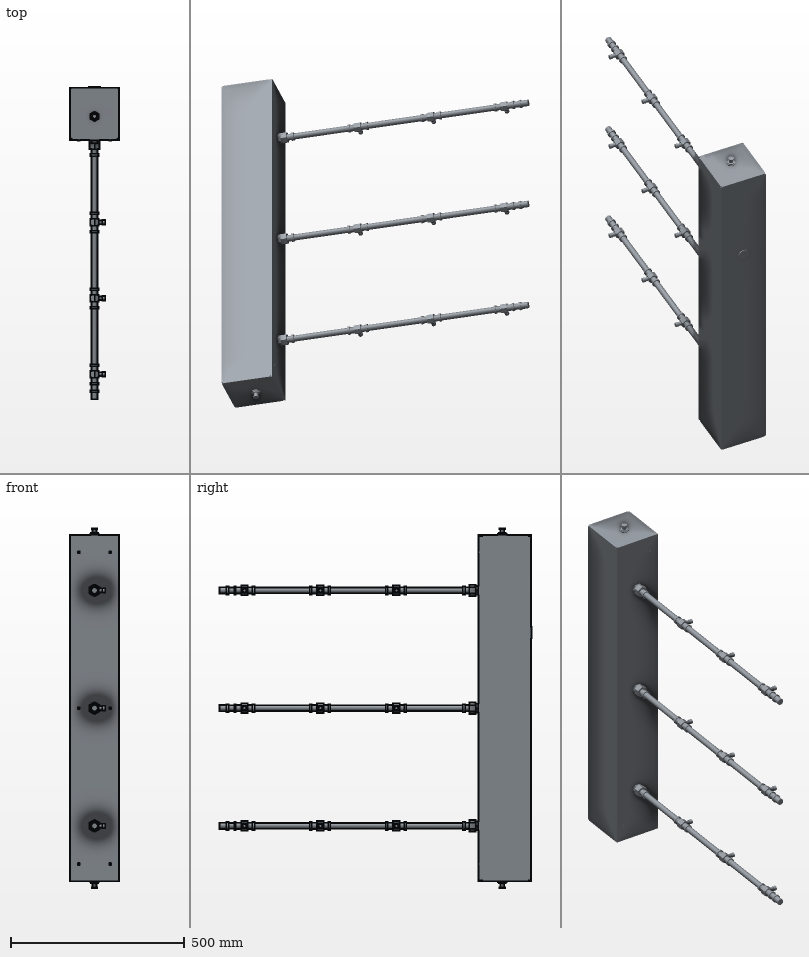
import cadquery as cq

overall_height = 1040.0
overall_depth = 903.0

cabinet_width = 143.0
cabinet_height = 1001.0
cabinet_depth = 152.0
plate_thickness = 3.0
lid_corner_radius = 7.0
body_height = cabinet_height - 2 * plate_thickness
body_depth = cabinet_depth - plate_thickness

pad_diameter = 33.0
pad_thickness = 2.0
pad_height = 218.0

plug_setback = 69.0
plug_height = (overall_height - cabinet_height) / 2
plug_hex_corners = 27.0
plug_hex_height = 3.0
plug_collar_diameter = 21.0
plug_collar_height = 6.0
plug_neck_diameter = 12.0
plug_head_diameter = 17.0
plug_head_height = 3.0

screw_diameter = 6.0
screw_head_height = 1.0
screw_columns = 2
screw_rows = 3
screw_spacing_x = 90.0
screw_spacing_z = 450.0

arm_pitch = 340.0
arm_length = overall_depth - cabinet_depth - pad_thickness
pipe_diameter = 18.0
sleeve_diameter = 19.0
ring_diameter = 24.0

root_collar_corners = 30.0
root_nut_start = 8.0
root_nut_length = 18.0
root_nut_corners = 34.0
root_ring_start = 38.0
root_ring_length = 7.0

outlet_count = 3
first_outlet = 237.0
outlet_pitch = 220.0
outlet_nut_length = 20.0
outlet_nut_corners = 29.0
inner_ring_offset = 29.0
inner_ring_length = 6.0
outer_ring_offset = 25.0
outer_ring_length = 5.0
nozzle_reach = 31.0
nozzle_neck_diameter = 11.0
nozzle_tip_diameter = 14.0
nozzle_tip_length = 9.0

cap_length = 27.0
cap_ring_length = 6.0


def arm_plane(distance, height):
    """Plane across an arm, facing away from the cabinet front at Y = 0."""
    return cq.Plane(origin=(0, -distance, height), xDir=(1, 0, 0), normal=(0, -1, 0))


def arm_disc(distance, height, length, diameter):
    return cq.Workplane(arm_plane(distance, height)).circle(diameter / 2).extrude(length)


def arm_hexagon(distance, height, length, corners, turn=0):
    """Hexagon around an arm; without a turn two of its corners point along X."""
    hexagon = cq.Workplane(arm_plane(distance, height)).transformed(rotate=(0, 0, turn))
    return hexagon.polygon(6, corners).extrude(length)


def arm_nut(distance, height, length, corners):
    """Hexagonal nut around an arm, with one corner pointing up."""
    return arm_hexagon(distance, height, length, corners, turn=90)


def make_lid():
    lid = cq.Workplane("XY").box(cabinet_width, body_depth, plate_thickness)
    return lid.edges("|Z").fillet(lid_corner_radius)


def make_cabinet():
    body_center = plate_thickness + body_depth / 2
    body = cq.Workplane("XY").box(cabinet_width, body_depth, body_height)
    body = body.translate((0, body_center, 0))
    front = cq.Workplane("XY").box(cabinet_width, plate_thickness, cabinet_height)
    front = front.translate((0, plate_thickness / 2, 0))
    pad = arm_disc(-cabinet_depth - pad_thickness, pad_height, pad_thickness, pad_diameter)
    cabinet = body.union(front, clean=False).union(pad, clean=False)
    for side in (-1, 1):
        lid_height = side * (body_height + plate_thickness) / 2
        cabinet = cabinet.union(make_lid().translate((0, body_center, lid_height)), clean=False)
    return cabinet


def make_plug():
    """Plug on the upper lid: hexagon, collar, neck and round head."""
    base = cq.Workplane("XY", origin=(0, plug_setback, cabinet_height / 2))
    hexagon = base.transformed(rotate=(0, 0, 90)).polygon(6, plug_hex_corners).extrude(plug_hex_height)
    collar = base.circle(plug_collar_diameter / 2).extrude(plug_collar_height)
    neck = base.circle(plug_neck_diameter / 2).extrude(plug_height)
    head = base.workplane(offset=plug_height - plug_head_height)
    head = head.circle(plug_head_diameter / 2).extrude(plug_head_height)
    return hexagon.union(collar).union(neck).union(head)


def make_screws():
    grid = cq.Workplane(arm_plane(0, 0)).rarray(screw_spacing_x, screw_spacing_z, screw_columns, screw_rows)
    return grid.circle(screw_diameter / 2).extrude(screw_head_height)


def add_outlet(arm, distance, height):
    """Sleeve with a ring at each end, a hexagonal body and a nozzle along +X."""
    start = distance - inner_ring_offset
    end = distance + outer_ring_offset + outer_ring_length
    arm = arm.union(arm_disc(start, height, end - start, sleeve_diameter))
    arm = arm.union(arm_disc(start, height, inner_ring_length, ring_diameter))
    arm = arm.union(arm_disc(distance + outer_ring_offset, height, outer_ring_length, ring_diameter))
    nut_start = distance - outlet_nut_length / 2
    arm = arm.union(arm_nut(nut_start, height, outlet_nut_length, outlet_nut_corners))
    nozzle = cq.Workplane("YZ", origin=(0, -distance, height))
    neck = nozzle.circle(nozzle_neck_diameter / 2).extrude(nozzle_reach)
    tip = nozzle.workplane(offset=nozzle_reach - nozzle_tip_length)
    tip = tip.circle(nozzle_tip_diameter / 2).extrude(nozzle_tip_length)
    return arm.union(neck).union(tip)


def make_arm(height):
    arm = arm_disc(0, height, arm_length, pipe_diameter)
    arm = arm.union(arm_hexagon(0, height, root_nut_start, root_collar_corners))
    arm = arm.union(arm_nut(root_nut_start, height, root_nut_length, root_nut_corners))
    arm = arm.union(arm_disc(0, height, root_ring_start, sleeve_diameter))
    arm = arm.union(arm_disc(root_ring_start, height, root_ring_length, ring_diameter))
    for index in range(outlet_count):
        arm = add_outlet(arm, first_outlet + index * outlet_pitch, height)
    cap_start = arm_length - cap_length
    arm = arm.union(arm_disc(cap_start, height, cap_length, sleeve_diameter))
    return arm.union(arm_disc(cap_start, height, cap_ring_length, ring_diameter))


upper_plug = make_plug()
result = make_cabinet()
result = result.union(upper_plug, clean=False)
result = result.union(upper_plug.mirror("XY"), clean=False)
result = result.union(make_screws(), clean=False)
for row in (-1, 0, 1):
    result = result.union(make_arm(row * arm_pitch), clean=False)